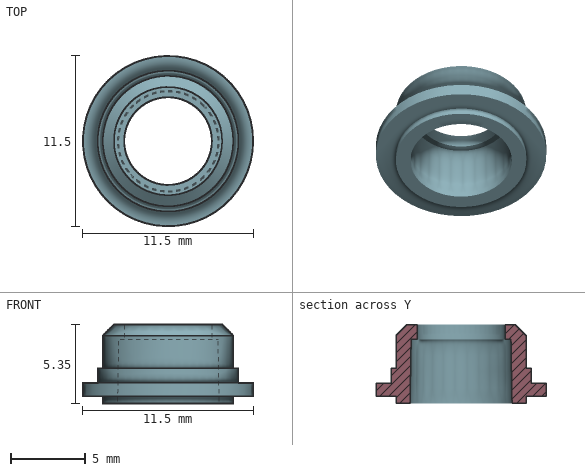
import cadquery as cq

flange_diameter = 11.5
shoulder_diameter = 9.5
barrel_diameter = 8.8

spigot_height = 0.5
flange_height = 0.9
shoulder_height = 1.0
barrel_height = 2.95
barrel_chamfer = 0.75

bore_diameter = 5.9
lip_height = 1.0
recess_top_diameter = 6.7
recess_mouth_diameter = 6.85

total_height = spigot_height + flange_height + shoulder_height + barrel_height


def stacked_disc(body, diameter, height):
    """Add a disc on top of the body, centred on its axis."""
    return body.faces(">Z").workplane().circle(diameter / 2).extrude(height)


def make_outside():
    body = cq.Workplane("XY").circle(barrel_diameter / 2).extrude(spigot_height)
    body = stacked_disc(body, flange_diameter, flange_height)
    body = stacked_disc(body, shoulder_diameter, shoulder_height)
    body = stacked_disc(body, barrel_diameter, barrel_height)
    return body.faces(">Z").edges().chamfer(barrel_chamfer)


def make_bore():
    bore_radius = bore_diameter / 2
    lip_bottom = total_height - lip_height
    return (
        cq.Workplane("XZ")
        .lineTo(recess_mouth_diameter / 2, 0)
        .lineTo(recess_top_diameter / 2, lip_bottom)
        .lineTo(bore_radius, lip_bottom)
        .lineTo(bore_radius, total_height)
        .lineTo(0, total_height)
        .close()
        .revolve(360, (0, 0, 0), (0, 1, 0))
    )


result = make_outside().cut(make_bore())